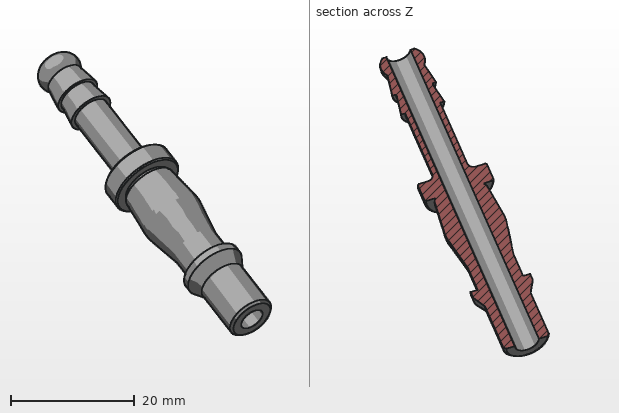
import cadquery as cq
import math

length = 60.0
nose_end = 3.5
first_barb_end = 7.45
second_barb_start = 7.85
second_barb_end = 11.4
collar_start = 24.95
collar_end = 28.55
body_start = 29.15
crown_start = 35.45
crown_end = 36.4
body_end = 43.1
ring_start = 47.6
ring_land_end = 48.85
ring_end = 51.05

bore_radius = 4.1 / 2
nose_face_radius = 5.5 / 2
stem_radius = 6.1 / 2
barb_radius = 7.5 / 2
barb_root_radius = 6.35 / 2
collar_radius = 12.0 / 2
body_root_radius = 9.1 / 2
crown_radius = 10.3 / 2
tail_radius = 7.9 / 2

nose_crest_x = 1.9
first_barb_land = 0.4
collar_fillet = 1.0
collar_chamfer = 0.25
undercut_depth = 0.3
tail_chamfer = 0.4

fillet_start = collar_start - collar_fillet
fillet_foot_radius = stem_radius + collar_fillet
fillet_mid = (
    fillet_start + collar_fillet * math.sin(math.pi / 4),
    fillet_foot_radius - collar_fillet * math.cos(math.pi / 4),
)

profile = (
    cq.Workplane("XY")
    .moveTo(0, bore_radius)
    .lineTo(0, nose_face_radius)
    .threePointArc((nose_crest_x, barb_radius), (nose_end, barb_root_radius))
    .lineTo(first_barb_end - first_barb_land, barb_radius)
    .lineTo(first_barb_end, barb_radius)
    .lineTo(first_barb_end, barb_root_radius)
    .lineTo(second_barb_start, barb_root_radius)
    .lineTo(second_barb_end, barb_radius)
    .lineTo(second_barb_end, stem_radius)
    .lineTo(fillet_start, stem_radius)
    .threePointArc(fillet_mid, (collar_start, fillet_foot_radius))
)

profile = (
    profile.lineTo(collar_start, collar_radius - collar_chamfer)
    .lineTo(collar_start + collar_chamfer, collar_radius)
    .lineTo(collar_end - collar_chamfer, collar_radius)
    .lineTo(collar_end, collar_radius - collar_chamfer)
)

profile = (
    profile.lineTo(collar_end, body_root_radius - undercut_depth)
    .lineTo(body_start, body_root_radius)
    .lineTo(crown_start, crown_radius)
    .lineTo(crown_end, crown_radius)
    .lineTo(body_end, tail_radius)
    .lineTo(ring_start, tail_radius)
    .lineTo(ring_start, crown_radius)
    .lineTo(ring_land_end, crown_radius)
    .lineTo(ring_end, tail_radius)
    .lineTo(length - tail_chamfer, tail_radius)
    .lineTo(length, tail_radius - tail_chamfer)
    .lineTo(length, bore_radius)
    .close()
)

turned = profile.revolve(360, (0, 0, 0), (1, 0, 0))
result = turned.translate((-length / 2, 0, 0))